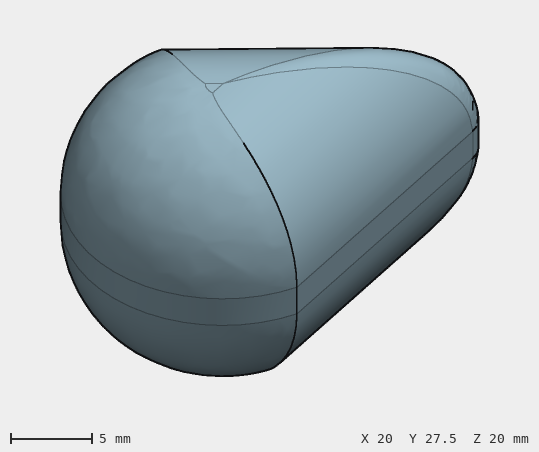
import cadquery as cq
import math

length = 27.53
head_radius = 10.0
height = 2 * head_radius
rim_radius = 8.92

apex_y = 2 * head_radius
tip_half_angle = math.atan2(head_radius, apex_y)

sharp_length = head_radius + apex_y
tip_radius = (sharp_length - length) / (1 / math.sin(tip_half_angle) - 1)


def sharp_teardrop():
    """Upright prism with a half-round head and a pointed tail."""
    return (
        cq.Workplane("XY")
        .workplane(offset=-height / 2)
        .moveTo(-head_radius, 0)
        .threePointArc((0, -head_radius), (head_radius, 0))
        .lineTo(0, apex_y)
        .close()
        .extrude(height)
    )


def round_rims(body):
    """Round the outlines of the top and bottom faces."""
    return body.faces("<Z or >Z").edges().fillet(rim_radius)


def round_tail_ridge(body):
    """Blend the ridge where the two side walls and their rim roundings meet."""
    ridge_start_y = head_radius / 4
    ridge = cq.selectors.BoxSelector(
        (-tip_radius, ridge_start_y, -height),
        (tip_radius, apex_y + tip_radius, height),
    )
    return body.edges(ridge).fillet(tip_radius)


result = round_tail_ridge(round_rims(sharp_teardrop()))